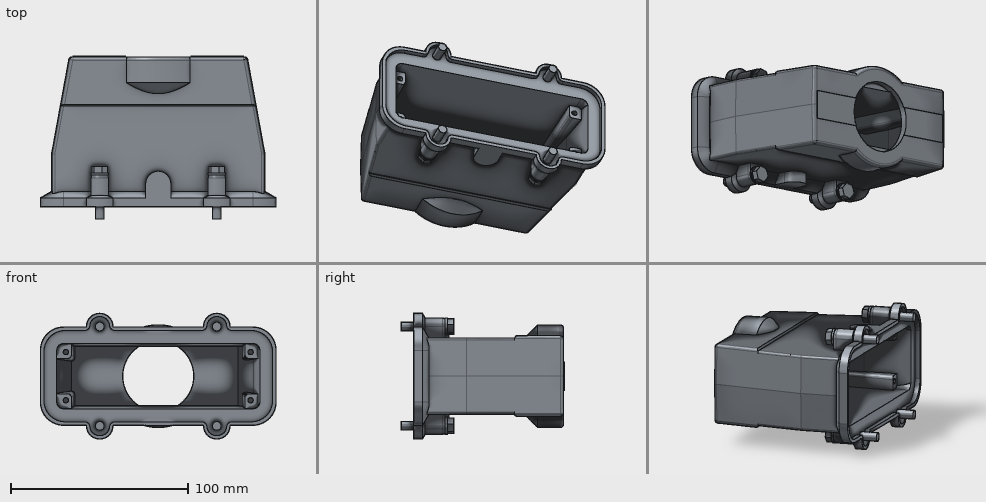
import cadquery as cq
import math


flange_half_x = 66.5
flange_half_z = 27.75
flange_corner = 13.2
flange_edge = 5.0
flange_slope_height = 3.6

body_half_x = 60.2
body_half_z = 21.6
body_end = 84.6
side_draft = 1.5
knee_y = 29.8
body_end_half_x = 50.2
body_edge_radius = 1.3
end_edge_radius = 2.0
band_start = 57.0
band_half_z = 22.8
band_step_slope = 0.8
band_edge_radius = 1.7
flange_slope_inset = flange_half_z - body_half_z

label_height = 85.0 - body_end
label_half_x = 48.0
label_half_z = 8.0

entry_diameter = 40.0
entry_boss_radius = 29.0
entry_boss_start = 70.0
entry_cone_length = 6.0

seal_depth = 3.0
rim_width = 2.0
seal_corner = 12.0
seal_lug_radius = 5.6
seal_blend = 3.0
cavity_half_x = 57.3
cavity_half_z = 18.5
cavity_corner = 4.0
cavity_end = 81.0
cavity_left_end_x = -49.0
cavity_right_bend_x = 53.8
cavity_right_end_x = 45.0
cavity_end_half_z = 16.6

column_face_y = 11.0
column_inner_x = 49.0
column_inner_z = 10.0
column_end_inner_x = 47.0
column_end_inner_z = 8.4
column_edge_radius = 2.0
column_hole_x = 52.1
column_hole_z = 13.6
column_hole_diameter = 3.0
column_hole_depth = 10.0

screw_x = 33.0
screw_z = 28.0
lug_radius = 7.5
post_radius = 4.9
post_end = 17.85
post_chamfer_length = 1.6
post_chamfer_inset = 0.4
screw_diameter = 5.0
screw_tip = -7.0
washer_diameter = 9.8
washer_thickness = 1.3
head_height = 3.6
head_across_flats = 8.0
head_turn = 13.8

arch_radius = 7.1
arch_top = 20.1

screw_places = [(x, z) for x in (-screw_x, screw_x) for z in (-screw_z, screw_z)]


def section_plane(y):
    """Workplane at height y with local axes X and Z."""
    return cq.Workplane("XZ", origin=(0, y, 0))


def rounded_rectangle(half_x, half_z, radius):
    return cq.Sketch().rect(2 * half_x, 2 * half_z).vertices().fillet(radius)


def cylinder(radius, y_start, y_end, x=0, z=0):
    solid = cq.Solid.makeCylinder(radius, y_end - y_start, cq.Vector(x, y_start, z), cq.Vector(0, 1, 0))
    return cq.Workplane(solid)


def cone(start_radius, end_radius, y_start, y_end, x=0, z=0):
    solid = cq.Solid.makeCone(
        start_radius, end_radius, y_end - y_start, cq.Vector(x, y_start, z), cq.Vector(0, 1, 0)
    )
    return cq.Workplane(solid)


def box_between(x_range, y_range, z_range):
    sizes = [end - start for start, end in (x_range, y_range, z_range)]
    corner = (x_range[0], y_range[0], z_range[0])
    return cq.Workplane("XY").box(*sizes, centered=False).translate(corner)


def body_half_x_at(y):
    lean = (body_half_x - body_end_half_x) / (body_end - knee_y)
    return body_half_x - lean * max(0, y - knee_y)


def drafted_plan(points, half_z):
    """Symmetric plan given by its (half width, y) points, narrowing from Z = 0 to both sides."""
    inset = half_z * math.tan(math.radians(side_draft))
    narrow = [(x - inset, y) for x, y in points]

    def outline(workplane, right_side):
        left_side = [(-x, y) for x, y in reversed(right_side)]
        return workplane.polyline(right_side + left_side).close()

    upper = outline(outline(cq.Workplane("XY"), points).workplane(offset=half_z), narrow).loft(ruled=True)
    return upper.union(upper.mirror("XY"))


def make_flange():
    edge = section_plane(0).placeSketch(
        rounded_rectangle(flange_half_x, flange_half_z, flange_corner)
    ).extrude(-flange_edge)
    base = rounded_rectangle(flange_half_x, flange_half_z, flange_corner)
    top = rounded_rectangle(
        flange_half_x - flange_slope_inset,
        flange_half_z - flange_slope_inset,
        flange_corner - flange_slope_inset,
    ).moved(cq.Location(cq.Vector(0, 0, -flange_slope_height)))
    slope = section_plane(flange_edge).placeSketch(base, top).loft()
    return edge.union(slope)


def make_body():
    main_end = band_start + 2
    main = drafted_plan(
        [(body_half_x, flange_edge), (body_half_x, knee_y), (body_half_x_at(main_end), main_end)],
        body_half_z,
    )
    main = main.faces(">Z or <Z").edges("not |X").fillet(body_edge_radius)
    band = drafted_plan(
        [(body_half_x_at(band_start), band_start), (body_end_half_x, body_end)],
        band_half_z,
    )
    band = band.faces("<Y").edges("|X").chamfer(band_step_slope, band_half_z - body_half_z)
    band = band.faces(">Y").edges().fillet(end_edge_radius)
    band = band.faces(">Z or <Z").edges("not |X").fillet(band_edge_radius)
    return main.union(band)


def make_entry_boss():
    cone_tip_radius = entry_boss_radius - entry_cone_length
    transition = cone(cone_tip_radius, entry_boss_radius, entry_boss_start - entry_cone_length, entry_boss_start)
    barrel = cylinder(entry_boss_radius, entry_boss_start, body_end).edges(">Y").fillet(end_edge_radius)
    return transition.union(barrel)


def make_label_pads():
    return box_between(
        (-label_half_x, label_half_x),
        (body_end - 1, body_end + label_height),
        (-label_half_z, label_half_z),
    )


def make_screw_post(x, z):
    slope_inset = lug_radius - post_radius
    slope_height = slope_inset * flange_slope_height / flange_slope_inset
    lug = cylinder(lug_radius, 0, flange_edge, x, z)
    lug = lug.union(cone(lug_radius, post_radius, flange_edge, flange_edge + slope_height, x, z))
    outward = math.copysign(1, z)
    web_length = abs(z) - body_half_z + body_edge_radius
    post = (
        section_plane(0)
        .center(x, z - outward * web_length / 2)
        .rect(2 * post_radius, web_length)
        .extrude(-post_end)
        .union(cylinder(post_radius, 0, post_end, x, z))
    )
    post = post.faces(">Y").edges("|Z or %CIRCLE").chamfer(post_chamfer_length, post_chamfer_inset)
    return lug.union(post)


def make_screw(x, z):
    head_start = post_end + washer_thickness
    shank = cylinder(screw_diameter / 2, screw_tip, head_start, x, z)
    washer = cylinder(washer_diameter / 2, post_end, head_start, x, z)
    corner_diameter = head_across_flats / math.cos(math.radians(30))
    head = (
        section_plane(head_start)
        .polygon(6, corner_diameter)
        .extrude(-head_height)
        .rotate((0, 0, 0), (0, 1, 0), -head_turn)
        .translate((x, 0, z))
    )
    return shank.union(washer).union(head)


def make_arch_pad():
    """Arched pads flush with both long flange edges."""
    return (
        cq.Workplane("XY")
        .moveTo(-arch_radius, 1)
        .lineTo(-arch_radius, arch_top - arch_radius)
        .threePointArc((0, arch_top), (arch_radius, arch_top - arch_radius))
        .lineTo(arch_radius, 1)
        .close()
        .extrude(flange_half_z, both=True)
    )


def make_seal_recess():
    recess = section_plane(0).placeSketch(
        rounded_rectangle(flange_half_x - rim_width, flange_half_z - rim_width, seal_corner)
    ).extrude(-seal_depth)
    for x, z in screw_places:
        recess = recess.union(cylinder(seal_lug_radius, 0, seal_depth, x, z))
    junctions = cq.selectors.BoxSelector(
        (-screw_x - lug_radius, -1, -screw_z - lug_radius),
        (screw_x + lug_radius, seal_depth + 1, screw_z + lug_radius),
    )
    return recess.edges("|Y").edges(junctions).fillet(seal_blend)


def make_cavity():
    plan = [
        (-cavity_half_x, 0),
        (cavity_half_x, 0),
        (cavity_half_x, seal_depth),
        (cavity_right_bend_x, knee_y),
        (cavity_right_end_x, cavity_end),
        (cavity_left_end_x, cavity_end),
        (-cavity_half_x, knee_y),
    ]
    cavity = cq.Workplane("XY").polyline(plan).close().extrude(cavity_half_z, both=True)
    front = rounded_rectangle(cavity_half_x, cavity_half_z, cavity_corner)
    back = rounded_rectangle(cavity_half_x, cavity_end_half_z, cavity_corner).moved(
        cq.Location(cq.Vector(0, 0, -cavity_end))
    )
    cavity = cavity.intersect(section_plane(0).placeSketch(front, back).loft())
    for side_x in (-1, 1):
        for side_z in (-1, 1):
            cavity = cavity.cut(make_column(side_x, side_z))
    return cavity


def make_column(side_x, side_z):
    """Drafted corner column with a rounded inner edge and a blind screw hole."""

    def section(inner_x, inner_z, y):
        width = body_half_x - inner_x
        height = body_half_z - inner_z
        outline = cq.Sketch().rect(width, height).vertices().fillet(column_edge_radius)
        centre = cq.Vector(side_x * (inner_x + width / 2), side_z * (inner_z + height / 2), -y)
        return outline.moved(cq.Location(centre))

    front = section(column_inner_x, column_inner_z, column_face_y)
    back = section(column_end_inner_x, column_end_inner_z, cavity_end)
    column = section_plane(0).placeSketch(front, back).loft()
    hole = cylinder(
        column_hole_diameter / 2,
        column_face_y,
        column_face_y + column_hole_depth,
        side_x * column_hole_x,
        side_z * column_hole_z,
    )
    return column.cut(hole)


hood = make_flange().union(make_body()).union(make_arch_pad()).union(make_label_pads()).union(make_entry_boss())
for screw_place in screw_places:
    hood = hood.union(make_screw_post(*screw_place))
hood = hood.cut(make_seal_recess()).cut(make_cavity())
hood = hood.cut(cylinder(entry_diameter / 2, cavity_end - 1, body_end + 1))
for screw_place in screw_places:
    hood = hood.union(make_screw(*screw_place))

result = hood